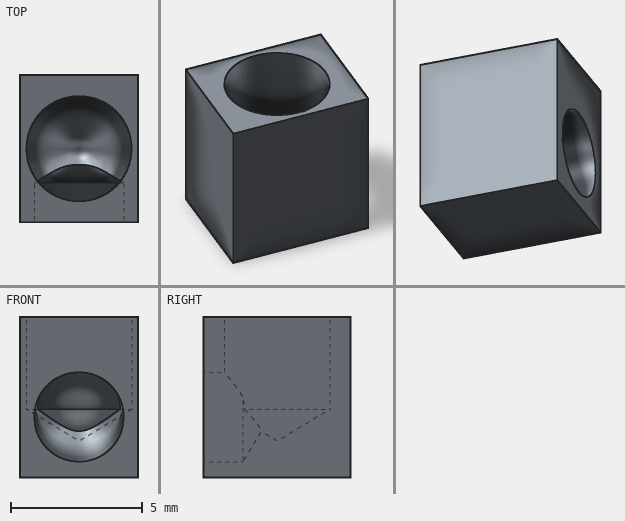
import cadquery as cq
import math

WIDTH = 4.5
DEPTH = 5.6
HEIGHT = 6.1

DRILL_POINT_ANGLE = 118.0

TOP_HOLE_DIAMETER = 4.0
TOP_HOLE_DEPTH = 3.5

FRONT_HOLE_DIAMETER = 3.4
FRONT_HOLE_DEPTH = 1.5
FRONT_HOLE_HEIGHT = 2.3


def drilled_hole(diameter, straight_depth, entry, direction):
    """Cutter for a blind hole: a cylinder from the entry point, then a drill-point cone."""
    radius = diameter / 2
    cone_length = radius / math.tan(math.radians(DRILL_POINT_ANGLE / 2))
    cylinder = cq.Solid.makeCylinder(radius, straight_depth, entry, direction)
    cone = cq.Solid.makeCone(radius, 0, cone_length, entry + direction * straight_depth, direction)
    return cylinder.fuse(cone)


block = cq.Workplane("XY").box(WIDTH, DEPTH, HEIGHT, centered=(True, True, False))

top_hole = drilled_hole(
    TOP_HOLE_DIAMETER,
    TOP_HOLE_DEPTH,
    entry=cq.Vector(0, 0, HEIGHT),
    direction=cq.Vector(0, 0, -1),
)

front_hole = drilled_hole(
    FRONT_HOLE_DIAMETER,
    FRONT_HOLE_DEPTH,
    entry=cq.Vector(0, -DEPTH / 2, FRONT_HOLE_HEIGHT),
    direction=cq.Vector(0, 1, 0),
)

result = block.cut(top_hole).cut(front_hole)